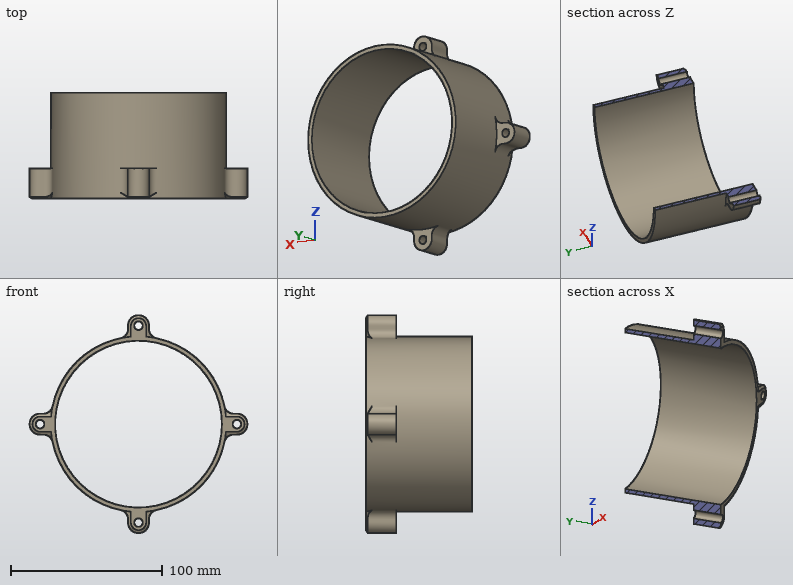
import cadquery as cq
import math

TUBE_OUTER_DIAMETER = 116.0
TUBE_INNER_DIAMETER = 110.0
TUBE_LENGTH = 70.0

LUG_COUNT = 4
OVERALL_WIDTH = 144.0
LUG_WIDTH = 14.0
LUG_LENGTH = 20.0
LUG_HOLE_DIAMETER = 5.5
LUG_FILLET_RADIUS = 6.0

BEVEL_INSET = 2.0
BEVEL_ANGLE = 30.0

tube_radius = TUBE_OUTER_DIAMETER / 2
bore_radius = TUBE_INNER_DIAMETER / 2
lug_radius = LUG_WIDTH / 2
hole_offset = OVERALL_WIDTH / 2 - lug_radius
root_radius = (tube_radius + bore_radius) / 2

fillet_x = lug_radius + LUG_FILLET_RADIUS
fillet_z = math.sqrt((tube_radius + LUG_FILLET_RADIUS) ** 2 - fillet_x ** 2)
fillet_angle = math.atan2(fillet_z, fillet_x)
foot_x = tube_radius * math.cos(fillet_angle)
foot_z = tube_radius * math.sin(fillet_angle)
root_x = root_radius * math.cos(fillet_angle)
root_z = root_radius * math.sin(fillet_angle)

mid_angle = math.pi + fillet_angle / 2
mid_x = fillet_x + LUG_FILLET_RADIUS * math.cos(mid_angle)
mid_z = fillet_z + LUG_FILLET_RADIUS * math.sin(mid_angle)

bevel_spread = LUG_LENGTH / math.tan(math.radians(BEVEL_ANGLE))
front_half_width = lug_radius - BEVEL_INSET
back_half_width = front_half_width + bevel_spread


def make_tube():
    """Plain tube running from the front rim toward +Y."""
    return (
        cq.Workplane("XZ")
        .circle(tube_radius)
        .circle(bore_radius)
        .extrude(-TUBE_LENGTH)
    )


def make_lug_body():
    """Unbevelled lug pointing toward +Z, flared into the tube by its root fillets."""
    return (
        cq.Workplane("XZ")
        .moveTo(-lug_radius, hole_offset)
        .threePointArc((0, hole_offset + lug_radius), (lug_radius, hole_offset))
        .lineTo(lug_radius, fillet_z)
        .threePointArc((mid_x, mid_z), (foot_x, foot_z))
        .lineTo(root_x, root_z)
        .threePointArc((0, root_radius), (-root_x, root_z))
        .lineTo(-foot_x, foot_z)
        .threePointArc((-mid_x, mid_z), (-lug_radius, fillet_z))
        .close()
        .extrude(-LUG_LENGTH)
    )


def make_bevel_envelope():
    """Cone around the lug tip plus a straight wedge along the lug's sides."""
    profile = [
        (-front_half_width, 0),
        (front_half_width, 0),
        (back_half_width, LUG_LENGTH),
        (-back_half_width, LUG_LENGTH),
    ]
    wedge = cq.Workplane("XY").polyline(profile).close().extrude(hole_offset)
    cone = cq.Solid.makeCone(
        front_half_width,
        back_half_width,
        LUG_LENGTH,
        pnt=cq.Vector(0, 0, hole_offset),
        dir=cq.Vector(0, 1, 0),
    )
    tip_side = (
        cq.Workplane("XY", origin=(0, 0, hole_offset))
        .rect(2 * back_half_width, 2 * LUG_LENGTH)
        .extrude(back_half_width)
    )
    return wedge.union(tip_side.intersect(cone))


def make_lug():
    """Bevelled lug pointing toward +Z, with its screw hole."""
    hole = (
        cq.Workplane("XZ")
        .center(0, hole_offset)
        .circle(LUG_HOLE_DIAMETER / 2)
        .extrude(-LUG_LENGTH)
    )
    return make_lug_body().intersect(make_bevel_envelope()).cut(hole)


part = make_tube()
lug = make_lug()
for index in range(LUG_COUNT):
    part = part.union(lug.rotate((0, 0, 0), (0, 1, 0), index * 360 / LUG_COUNT))

result = part